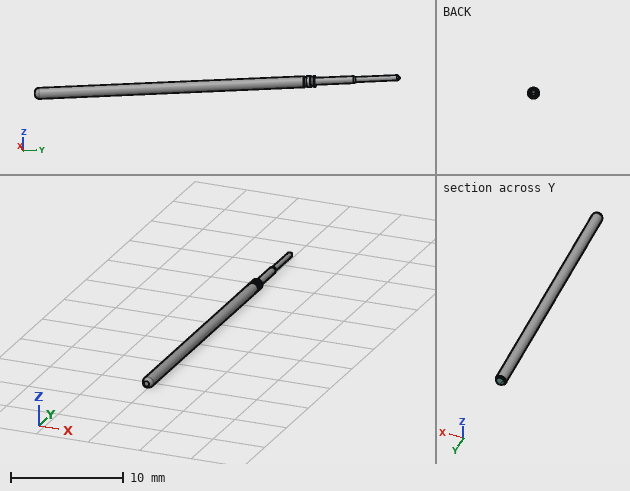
import cadquery as cq
import math

TOTAL_LENGTH = 33.1
BARREL_END = 24.47
WIDE_COLLAR_START = 24.68
WIDE_COLLAR_END = 25.07
NARROW_COLLAR_START = 25.3
NARROW_COLLAR_END = 25.4
SLEEVE_END = 28.9

BARREL_DIAMETER = 1.02
GROOVE_DIAMETER = 0.86
SLEEVE_DIAMETER = 0.66
PLUNGER_DIAMETER = 0.5

REAR_ROUND_LENGTH = 0.4
REAR_FLAT_DIAMETER = 0.5
SLEEVE_MOUTH_LENGTH = 0.2
SLEEVE_MOUTH_DIAMETER = 0.53
TIP_RIDGE_LENGTH = 0.3
CHISEL_ANGLE = 90.0
COLLAR_CHAMFER = (BARREL_DIAMETER - GROOVE_DIAMETER) / 2


def cylinder(diameter, start, end):
    """Solid cylinder around the Y axis between two positions along it."""
    return cq.Workplane("XZ", origin=(0, start, 0)).circle(diameter / 2).extrude(start - end)


def chamfer_front(body):
    """Bevel the front rim of a body down to the groove floor."""
    return body.faces(">Y").edges().chamfer(COLLAR_CHAMFER)


def make_barrel():
    """Barrel turned around Y; its rear arc runs tangent into the side and meets a small flat."""
    barrel_radius = BARREL_DIAMETER / 2
    flat_radius = REAR_FLAT_DIAMETER / 2
    barrel = (
        cq.Workplane("XY")
        .lineTo(0, BARREL_END)
        .lineTo(barrel_radius, BARREL_END)
        .lineTo(barrel_radius, REAR_ROUND_LENGTH)
        .tangentArcPoint((flat_radius, 0), relative=False)
        .close()
        .revolve(360, (0, 0, 0), (0, 1, 0))
    )
    return chamfer_front(barrel)


def make_collars():
    """Two collars ahead of the barrel, joined by a slimmer core that leaves grooves between."""
    core = cylinder(GROOVE_DIAMETER, BARREL_END, NARROW_COLLAR_END)
    wide_collar = chamfer_front(cylinder(BARREL_DIAMETER, WIDE_COLLAR_START, WIDE_COLLAR_END))
    narrow_collar = cylinder(BARREL_DIAMETER, NARROW_COLLAR_START, NARROW_COLLAR_END)
    return core.union(wide_collar).union(narrow_collar)


def make_sleeve():
    """Sleeve around the plunger, with a short stepped mouth at its front."""
    sleeve = cylinder(SLEEVE_DIAMETER, NARROW_COLLAR_END, SLEEVE_END)
    mouth = cylinder(SLEEVE_MOUTH_DIAMETER, SLEEVE_END, SLEEVE_END + SLEEVE_MOUTH_LENGTH)
    return sleeve.union(mouth)


def make_plunger():
    """Thin plunger with a chisel tip whose ridge runs along X."""
    half_height = PLUNGER_DIAMETER / 2
    chisel_length = half_height / math.tan(math.radians(CHISEL_ANGLE / 2))
    chisel_base = TOTAL_LENGTH - chisel_length
    plunger = cylinder(PLUNGER_DIAMETER, SLEEVE_END, TOTAL_LENGTH)
    cone_step = (PLUNGER_DIAMETER - TIP_RIDGE_LENGTH) / 2
    plunger = plunger.faces(">Y").edges().chamfer(chisel_length, cone_step)
    wedge = (
        cq.Workplane("YZ")
        .moveTo(SLEEVE_END, -half_height)
        .lineTo(chisel_base, -half_height)
        .lineTo(TOTAL_LENGTH, 0)
        .lineTo(chisel_base, half_height)
        .lineTo(SLEEVE_END, half_height)
        .close()
        .extrude(half_height, both=True)
    )
    return plunger.intersect(wedge)


result = make_barrel().union(make_collars()).union(make_sleeve()).union(make_plunger())